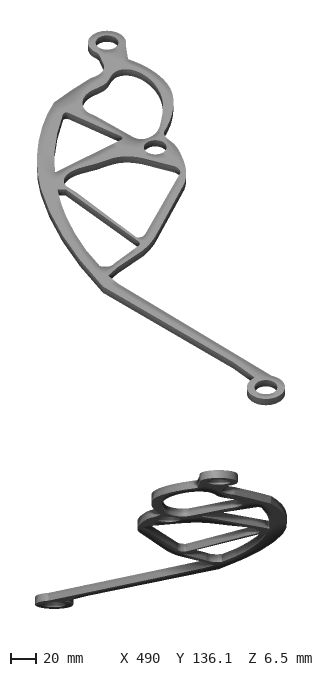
import cadquery as cq

thickness = 6.5
length = 490.0
eye_diameter = 30.5
hole_diameter = 18.0
eye_radius = eye_diameter / 2
eye_span = length - eye_diameter
middle_hole_x = 139.5
blunt_corner_radius = 3.0
sharp_corner_radius = 1.0

left_eye = (0, 0)
right_eye = (eye_span, 0)
middle_hole = (middle_hole_x, 0)


def plate(start, stretches):
    """Extrude a closed outline: one point makes a line, several make a smooth curve."""
    path = cq.Workplane("XY").moveTo(*start)
    for points in stretches:
        if len(points) == 1:
            path = path.lineTo(*points[0])
        else:
            path = path.spline(points, includeCurrent=True)
    return path.close().extrude(thickness)


def discs(centers, diameter):
    return cq.Workplane("XY").pushPoints(centers).circle(diameter / 2).extrude(thickness)


frame = plate(
    (0, eye_radius),
    [
        [(11.0, 12.5), (25.0, 10.5)],
        [(37.0, 20.5), (58.5, 30.5), (73.0, 32.5), (87.5, 30.0), (106.5, 22.5), (123.0, 12.0)],
        [(130.0, 12.0), (137.0, 14.5), (157.0, 17.0), (173.5, 15.5), (190.0, 10.0)],
        [(244.5, -28.0)],
        [(254.5, -35.5), (264.0, -46.0)],
        [(279.5, -71.0)],
        [(287.5, -81.5)],
        [(300.0, -76.5)],
        [(449.5, 10.0)],
        [right_eye],
        [(444.0, -6.0)],
        [(422.0, -16.0)],
        [(300.0, -89.0)],
        [(272.0, -95.5), (224.0, -102.5), (186.0, -103.5), (152.5, -100.5),
         (123.0, -93.0), (91.5, -80.5), (62.0, -61.5)],
        [(51.0, -44.0), (40.0, -25.0)],
        [(34.0, -13.0), (27.5, -10.5)],
        [(12.5, -10.5)],
        [(3.5, -14.0)],
        [left_eye],
    ],
)

eye_side_window = plate(
    (120.0, -14.5),
    [
        [(86.0, -36.0)],
        [(77.0, -40.5), (65.5, -38.5), (57.0, -30.5), (49.5, -14.5),
         (41.0, -8.0), (37.0, -2.5), (37.0, 5.5), (49.5, 17.5), (63.0, 22.0), (83.5, 22.0),
         (108.5, 13.5), (123.0, 4.5), (127.0, -4.5), (120.0, -14.5)],
    ],
)

triangle_window = (
    cq.Workplane("XY")
    .moveTo(121.5, -20.0)
    .lineTo(149.0, -86.0)
    .threePointArc((104.5, -71.5), (75.0, -57.0))
    .close()
    .extrude(thickness)
    .edges("|Z and (not >X)")
    .fillet(blunt_corner_radius)
    .edges("|Z and >X")
    .fillet(sharp_corner_radius)
)

large_window = plate(
    (176.5, 10.5),
    [
        [(243.5, -37.5)],
        [(247.0, -41.5), (247.0, -46.0)],
        [(179.0, -76.0)],
        [(169.0, -81.5)],
        [(158.0, -80.5), (150.5, -71.0), (147.0, -51.5), (143.5, -31.5), (146.0, -21.0),
         (153.5, -9.5), (163.0, 3.0), (169.0, 9.5), (176.5, 10.5)],
    ],
)

strut_window = plate(
    (170.0, -89.5),
    [
        [(172.0, -83.5)],
        [(250.0, -47.0)],
        [(254.0, -45.5), (257.0, -47.5)],
        [(262.5, -55.5)],
        [(273.0, -71.0)],
        [(276.5, -78.0), (274.0, -84.5)],
        [(252.0, -89.0), (231.3, -91.5), (206.0, -92.5), (181.0, -91.0), (170.0, -89.5)],
    ],
)

result = frame.union(discs([left_eye, right_eye], eye_diameter))
for window in (eye_side_window, triangle_window, large_window, strut_window):
    result = result.cut(window)
result = result.cut(discs([left_eye, middle_hole, right_eye], hole_diameter))